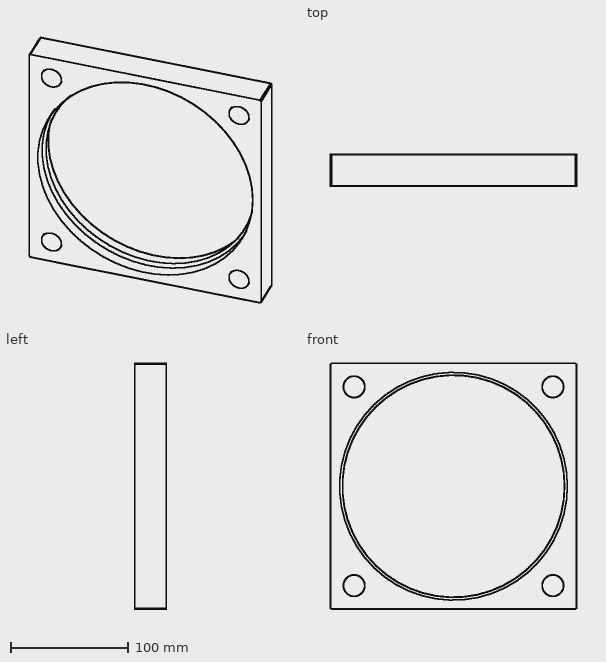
import cadquery as cq

side = 210.0
thickness = 27.0
corner_chamfer = 1.0

bore_diameter = 194.5
bead_radius = 2.5

hole_diameter = 18.0
hole_spacing = 169.7


def plate():
    """Square plate with its four corner edges chamfered."""
    return cq.Workplane("XY").box(side, thickness, side).edges("|Y").chamfer(corner_chamfer)


def bore_cutter():
    """Bore volume with a half-round waist that leaves the bead standing."""
    bore_radius = bore_diameter / 2
    return (
        cq.Workplane("XY")
        .moveTo(0, -thickness / 2)
        .lineTo(bore_radius, -thickness / 2)
        .lineTo(bore_radius, -bead_radius)
        .threePointArc((bore_radius - bead_radius, 0), (bore_radius, bead_radius))
        .lineTo(bore_radius, thickness / 2)
        .lineTo(0, thickness / 2)
        .close()
        .revolve(360, (0, 0, 0), (0, 1, 0))
    )


def bolt_holes():
    """Four through holes on a square pattern."""
    return (
        cq.Workplane("XZ")
        .rect(hole_spacing, hole_spacing, forConstruction=True)
        .vertices()
        .circle(hole_diameter / 2)
        .extrude(thickness / 2, both=True)
    )


result = plate().cut(bore_cutter()).cut(bolt_holes())